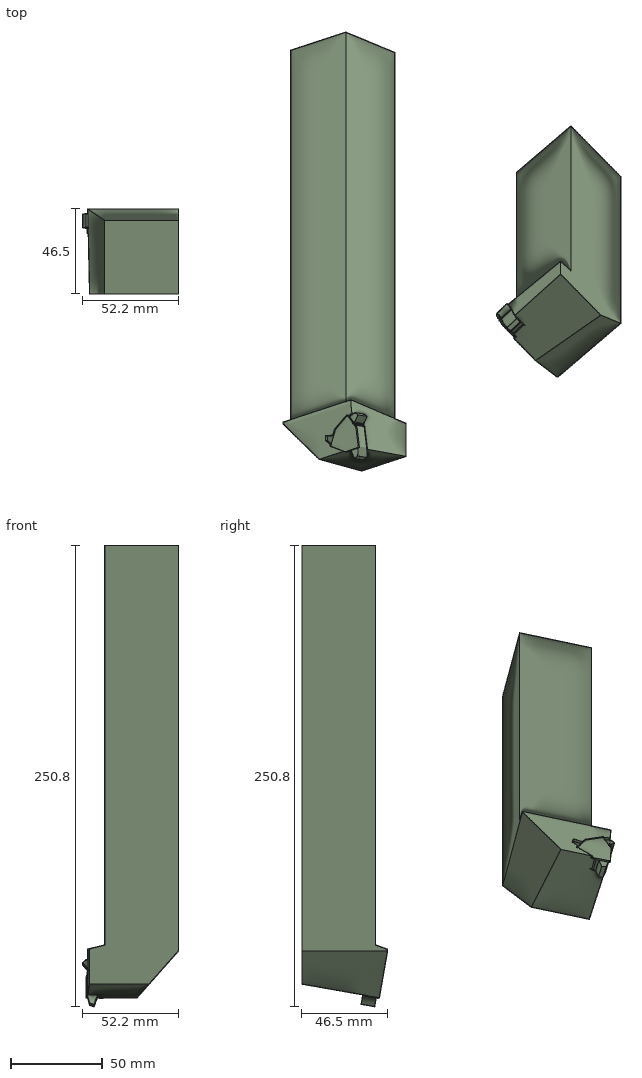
import cadquery as cq
import math

TOP_Z = 250.8
SHANK_SIDE = 40.1

HEAD_FRONT_X = -8.3
HEAD_REAR_X = -9.3
HEAD_REAR_Y = 46.5
SHOULDER_Z = 33.5
SHOULDER_EDGE_Z = 31.4
REAR_LAND_Z = 29.0
BEVEL_TOP_Z = 30.3
BEVEL_END_X = 17.5
FRONT_BOTTOM_Z = 12.3

LEAN = 10.0
INSERT_X = -2.3
INSERT_Y = 42.0
INSERT_THICKNESS = 7.5
HUB_THICKNESS = 1.0
POCKET_REACH = 5.0
TIP_DROP = 13.3
INSERT_Z = TIP_DROP * math.cos(math.radians(LEAN))

ARM_POINTS = [
    (-6.5, 5.8),
    (-7.3, 4.5),
    (-7.3, -7.5),
    (-6.0, -12.5),
    (-3.5, -TIP_DROP),
    (-2.5, -10.3),
]
HUB_POINTS = [(-8.0, 3.0), (-8.0, -8.3)]
ARM_COUNT = 3


def three_fold(points):
    """Repeat a run of points around the insert centre to close an outline."""
    outline = []
    for arm in range(ARM_COUNT):
        angle = math.radians(arm * 360 / ARM_COUNT)
        cosine = math.cos(angle)
        sine = math.sin(angle)
        outline += [(u * cosine - v * sine, u * sine + v * cosine) for u, v in points]
    return outline


def leaning_prism(points, depth):
    """Prism on the insert's rear face; positive depth runs forward, negative rearward."""
    lean = math.radians(LEAN)
    seat = cq.Plane(
        origin=(INSERT_X, INSERT_Y, INSERT_Z),
        xDir=(1, 0, 0),
        normal=(0, -math.cos(lean), math.sin(lean)),
    )
    return cq.Workplane(seat).polyline(three_fold(points)).close().extrude(depth)


def make_insert():
    """Three-tipped cutting insert with a raised triangular hub on its rear face."""
    return leaning_prism(ARM_POINTS, INSERT_THICKNESS).union(leaning_prism(HUB_POINTS, -HUB_THICKNESS))


def make_head():
    """Head from the crossing of its front and side outlines, with a flared left face."""
    front_outline = [
        (0, SHOULDER_Z),
        (HEAD_REAR_X, SHOULDER_EDGE_Z),
        (HEAD_REAR_X, 0),
        (BEVEL_END_X - bottom_rear_z() * bevel_run(), 0),
        (SHANK_SIDE, BEVEL_TOP_Z),
        (SHANK_SIDE, SHOULDER_Z),
    ]
    front = cq.Workplane("XZ").polyline(front_outline).close().extrude(-HEAD_REAR_Y)

    side_outline = [
        (0, FRONT_BOTTOM_Z),
        (bottom_rear_y(), bottom_rear_z()),
        (HEAD_REAR_Y, REAR_LAND_Z),
        (HEAD_REAR_Y, SHOULDER_EDGE_Z),
        (SHANK_SIDE, SHOULDER_Z),
        (0, SHOULDER_Z),
    ]
    side = (
        cq.Workplane("YZ").workplane(offset=HEAD_REAR_X)
        .polyline(side_outline).close().extrude(SHANK_SIDE - HEAD_REAR_X)
    )

    flare_waste = (
        cq.Workplane("XY")
        .polyline([(HEAD_REAR_X, 0), (HEAD_FRONT_X, 0), (HEAD_REAR_X, HEAD_REAR_Y)])
        .close().extrude(SHOULDER_Z)
    )
    return front.intersect(side).cut(flare_waste)


def bottom_rear_y():
    """Y of the lower rear edge, where the perpendicular rear face and underside meet."""
    lean = math.radians(LEAN)
    rear_at_front_level = HEAD_REAR_Y - (REAR_LAND_Z - FRONT_BOTTOM_Z) * math.tan(lean)
    return rear_at_front_level * math.cos(lean) ** 2


def bottom_rear_z():
    """Z of the lower rear edge, reached by the leaning underside."""
    return FRONT_BOTTOM_Z - bottom_rear_y() * math.tan(math.radians(LEAN))


def bevel_run():
    """Travel in X per unit of Z along the large bevel."""
    return (SHANK_SIDE - BEVEL_END_X) / (BEVEL_TOP_Z - bottom_rear_z())


def make_holder():
    """Square shank and head in one piece, with an insert pocket open to the rear."""
    shank = (
        cq.Workplane("XY").workplane(offset=SHOULDER_Z)
        .rect(SHANK_SIDE, SHANK_SIDE, centered=False)
        .extrude(TOP_Z - SHOULDER_Z)
    )
    holder = shank.union(make_head())
    holder = holder.cut(leaning_prism(ARM_POINTS, INSERT_THICKNESS))
    for outline in (ARM_POINTS, HUB_POINTS):
        holder = holder.cut(leaning_prism(outline, -POCKET_REACH))
    return holder


insert = make_insert()
holder = make_holder()
result = cq.Compound.makeCompound([holder.val(), insert.val()])